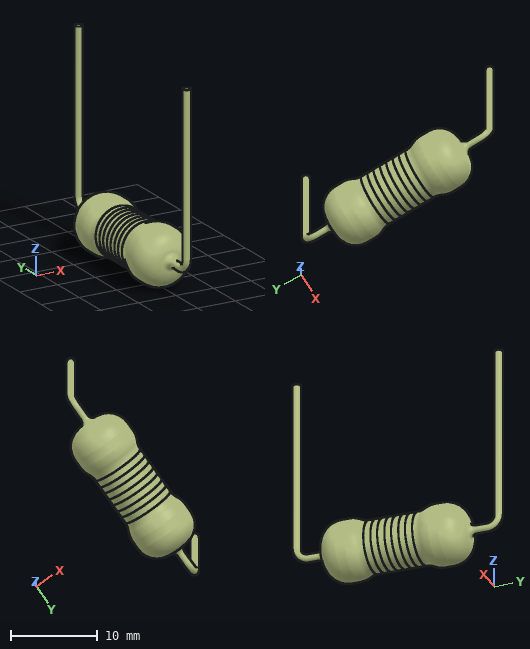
import cadquery as cq
import math

overall_length = 26.0
overall_height = 26.1
body_diameter = 7.5
waist_diameter = 6.37
band_diameter = 6.4
lead_diameter = 1.0

shoulder_start = 3.03
shoulder_end = 5.2
dome_start = 6.37
flare_end = 9.75

dome_radius = 2.6
bend_radius = 1.45

band_count = 4
band_width = 0.9
band_gap = (2 * shoulder_start - band_count * band_width) / (band_count - 1)

body_radius = body_diameter / 2
waist_radius = waist_diameter / 2
lead_radius = lead_diameter / 2
lead_offset = overall_length / 2 - lead_radius
lead_top = overall_height - body_radius

shoulder_middle = (shoulder_start + shoulder_end) / 2
shoulder_middle_radius = (waist_radius + body_radius) / 2
shoulder_length = shoulder_middle - shoulder_start
shoulder_rise = shoulder_middle_radius - waist_radius
shoulder_arc_radius = (shoulder_length**2 + shoulder_rise**2) / (2 * shoulder_rise)
shoulder_arc_angle = math.asin(shoulder_length / shoulder_arc_radius)
shoulder_hollow = (
    waist_radius + shoulder_arc_radius * (1 - math.cos(shoulder_arc_angle / 2)),
    shoulder_start + shoulder_arc_radius * math.sin(shoulder_arc_angle / 2),
)

dome_center_radius = body_radius - dome_radius
dome_to_flare = flare_end - dome_start
center_drop = dome_center_radius - lead_radius
flare_radius = (dome_to_flare**2 + center_drop**2 - dome_radius**2) / (2 * (dome_radius + center_drop))
flare_center_radius = lead_radius + flare_radius
join_angle = math.atan2(flare_center_radius - dome_center_radius, dome_to_flare)


def arc_point(center_radius, center_y, arc_radius, angle):
    """Return (distance from axis, y) at an angle from the +Y direction."""
    return (
        center_radius + arc_radius * math.sin(angle),
        center_y + arc_radius * math.cos(angle),
    )


def make_body_end():
    """Revolve the +Y end of the body, from the shoulder to the flare onto the lead."""
    dome_middle = arc_point(
        dome_center_radius, dome_start, dome_radius, (math.pi / 2 + join_angle) / 2
    )
    dome_end = arc_point(dome_center_radius, dome_start, dome_radius, join_angle)
    flare_middle = arc_point(
        flare_center_radius, flare_end, flare_radius, (join_angle - 3 * math.pi / 2) / 2
    )
    return (
        cq.Workplane("XY")
        .moveTo(0, shoulder_start)
        .lineTo(waist_radius, shoulder_start)
        .threePointArc(shoulder_hollow, (shoulder_middle_radius, shoulder_middle))
        .tangentArcPoint((body_radius, shoulder_end), relative=False)
        .lineTo(body_radius, dome_start)
        .threePointArc(dome_middle, dome_end)
        .threePointArc(flare_middle, (lead_radius, flare_end))
        .lineTo(0, flare_end)
        .close()
        .revolve(360, (0, 0, 0), (0, 1, 0))
    )


def make_lead():
    """Sweep the +Y lead outward from the body and up through its bend."""
    bend_start = lead_offset - bend_radius
    bend_middle = (
        bend_start + bend_radius * math.sin(math.pi / 4),
        bend_radius * (1 - math.cos(math.pi / 4)),
    )
    path = (
        cq.Workplane("YZ")
        .moveTo(flare_end, 0)
        .lineTo(bend_start, 0)
        .threePointArc(bend_middle, (lead_offset, bend_radius))
        .lineTo(lead_offset, lead_top)
    )
    return (
        cq.Workplane("XZ", origin=(0, flare_end, 0))
        .circle(lead_radius)
        .sweep(path)
    )


def make_disc(diameter, start_y, width):
    """Make a disc on the body axis that runs toward +Y from its start."""
    return (
        cq.Workplane("XZ", origin=(0, start_y, 0))
        .circle(diameter / 2)
        .extrude(-width)
    )


waist = make_disc(waist_diameter, -shoulder_start, 2 * shoulder_start)
end_with_lead = make_body_end().union(make_lead())
result = waist.union(end_with_lead).union(end_with_lead.mirror("XZ"))

for band_index in range(band_count):
    band_start = -shoulder_start + band_index * (band_width + band_gap)
    result = result.union(make_disc(band_diameter, band_start, band_width))